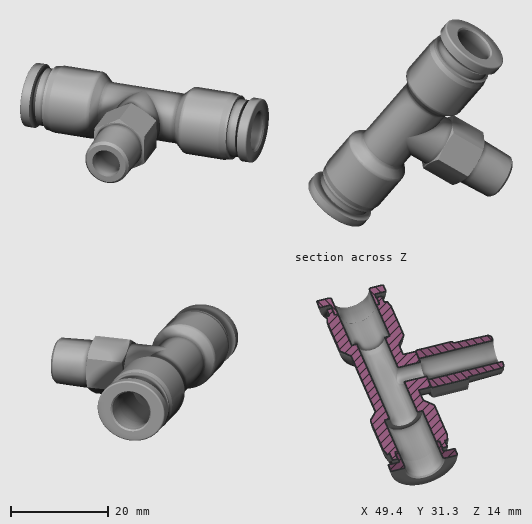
import cadquery as cq
import math


overall_length = 49.4
tube_diameter = 10.4
sleeve_diameter = 14.0
rim_diameter = 13.4
cap_diameter = 12.0
cone_start = 8.05
cone_end = 10.05
cone_blend_radius = 0.9
sleeve_end = 18.52
rim_start = 19.55
rim_end = 20.05
cap_end = 21.85

run_bore_diameter = 6.0
branch_bore_diameter = 4.0
socket_diameter = 8.2
socket_depth = 13.85

collet_bore_diameter = 8.15
collet_neck_diameter = 9.6
collet_mouth_chamfer = 0.3
collet_length = 4.8
flange_thickness = 2.05
flange_width = 14.5
flange_height = 13.0
flange_edge_radius = 0.3
flange_neck_radius = 0.15

hex_start = 7.95
hex_end = 16.0
stud_end = 24.0
hex_across_flats = 10.9
hex_face_diameter = hex_across_flats
hex_chamfer_depth = 0.3
thread_base_diameter = 10.0
thread_taper = 1 / 16
thread_tip_diameter = 8.5
thread_chamfer_length = 0.55
stud_bore_diameter = 6.0

half_length = overall_length / 2
sides = (-1, 1)


def cylinder_x(diameter, start, end):
    """Cylinder on the run axis between two X positions."""
    return cq.Workplane("YZ", origin=(start, 0, 0)).circle(diameter / 2).extrude(end - start)


def cylinder_branch(diameter, start, end):
    """Cylinder on the branch axis between two distances from the run axis."""
    return cq.Workplane("XZ", origin=(0, -start, 0)).circle(diameter / 2).extrude(end - start)


def make_run():
    """Solid run between both cap ends, with rounded cone edges."""
    outline_right = [
        (cone_start, tube_diameter / 2),
        (cone_end, sleeve_diameter / 2),
        (sleeve_end, sleeve_diameter / 2),
        (rim_start, rim_diameter / 2),
        (rim_end, rim_diameter / 2),
        (rim_end, cap_diameter / 2),
        (cap_end, cap_diameter / 2),
        (cap_end, 0),
    ]
    outline_left = [(-x, radius) for x, radius in reversed(outline_right)]
    run = cq.Workplane("XY").polyline(outline_left + outline_right).close()
    run = run.revolve(360, (0, 0, 0), (1, 0, 0))
    between_sleeves = cq.selectors.BoxSelector(
        (-sleeve_end + cone_blend_radius, -sleeve_diameter, -sleeve_diameter),
        (sleeve_end - cone_blend_radius, sleeve_diameter, sleeve_diameter),
        boundingbox=True,
    )
    return run.edges("%CIRCLE").edges(between_sleeves).fillet(cone_blend_radius)


def make_housing():
    """Tee housing with a through bore, a branch passage, and a tube socket and collet seat at each end."""
    housing = make_run().union(cylinder_branch(tube_diameter, 0, hex_start))
    housing = housing.cut(cylinder_x(run_bore_diameter, -half_length, half_length))
    housing = housing.cut(cylinder_branch(branch_bore_diameter, 0, hex_start))
    for side in sides:
        socket_bottom = side * (half_length - socket_depth)
        collet_bottom = side * (half_length - collet_length)
        housing = housing.cut(cylinder_x(socket_diameter, socket_bottom, side * half_length))
        housing = housing.cut(cylinder_x(collet_neck_diameter, collet_bottom, side * half_length))
    return housing


def make_collet(side):
    """Release collet with an oval flange, at the -X or +X end of the run."""
    flange = (
        cq.Workplane("YZ", origin=(half_length - flange_thickness, 0, 0))
        .ellipse(flange_width / 2, flange_height / 2)
        .extrude(flange_thickness)
        .faces(">X")
        .edges()
        .fillet(flange_edge_radius)
    )
    neck = cylinder_x(collet_neck_diameter, half_length - collet_length, half_length - flange_thickness)
    bore = cylinder_x(collet_bore_diameter, half_length - collet_length, half_length)
    collet = flange.union(neck)
    neck_root = cq.selectors.NearestToPointSelector((half_length - flange_thickness, 0, 0))
    collet = collet.edges("%CIRCLE").edges(neck_root).fillet(flange_neck_radius).cut(bore)
    collet = collet.faces(">X").edges("%CIRCLE").chamfer(collet_mouth_chamfer)
    return collet if side > 0 else collet.mirror("YZ")


def make_hex():
    """Hexagon with corners toward +Z and -Z, both ends chamfered by a cone."""
    across_corners = hex_across_flats / math.cos(math.pi / 6)
    prism = (
        cq.Workplane("XZ", origin=(0, -hex_start, 0))
        .transformed(rotate=(0, 0, 90))
        .polygon(6, across_corners)
        .extrude(hex_end - hex_start)
    )
    envelope_outline = [
        (0, -hex_start),
        (hex_face_diameter / 2, -hex_start),
        (across_corners / 2, -hex_start - hex_chamfer_depth),
        (across_corners / 2, -hex_end + hex_chamfer_depth),
        (hex_face_diameter / 2, -hex_end),
        (0, -hex_end),
    ]
    envelope = cq.Workplane("XY").polyline(envelope_outline).close().revolve(360, (0, 0, 0), (0, 1, 0))
    return prism.intersect(envelope)


def make_stud():
    """Hexagon with a tapered thread blank and a bore along its axis."""
    chamfer_start = stud_end - thread_chamfer_length
    thread_end_diameter = thread_base_diameter - thread_taper * (chamfer_start - hex_end)
    thread_outline = [
        (0, -hex_end),
        (thread_base_diameter / 2, -hex_end),
        (thread_end_diameter / 2, -chamfer_start),
        (thread_tip_diameter / 2, -stud_end),
        (0, -stud_end),
    ]
    thread = cq.Workplane("XY").polyline(thread_outline).close().revolve(360, (0, 0, 0), (0, 1, 0))
    return make_hex().union(thread).cut(cylinder_branch(stud_bore_diameter, hex_start, stud_end))


housing = make_housing()
stud = make_stud()
collets = [make_collet(side).val() for side in sides]

result = cq.Compound.makeCompound([housing.val(), stud.val(), *collets])